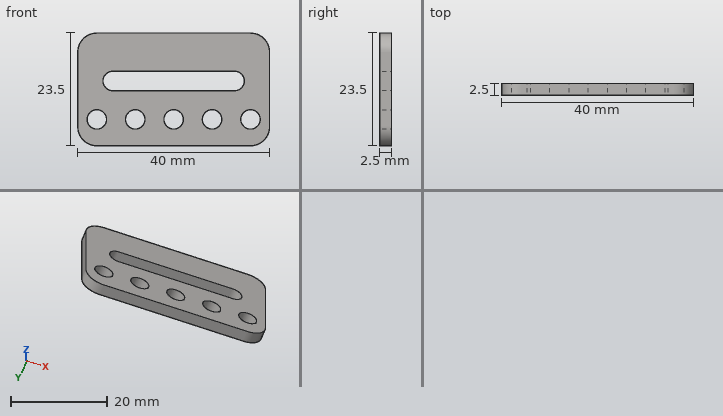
import cadquery as cq

length = 40.0
thickness = 2.5
height = 23.5
corner_radius = 4.0

hole_diameter = 4.0
hole_count = 5
hole_pitch = 8.0

slot_width = hole_diameter
slot_center_distance = 25.4
slot_length = slot_center_distance + slot_width
slot_below_top = 10.0
slot_z = height / 2 - slot_below_top
hole_row_z = slot_z - hole_pitch


def make_plate():
    plate = cq.Workplane("XY").box(length, thickness, height)
    return plate.edges("|Y").fillet(corner_radius)


def back_face_plane():
    return cq.Workplane("XZ", origin=(0, thickness / 2, 0))


def cut_slot(plate):
    profile = back_face_plane().center(0, slot_z).slot2D(slot_length, slot_width)
    return plate.cut(profile.extrude(thickness))


def cut_hole_row(plate):
    row = back_face_plane().center(0, hole_row_z).rarray(hole_pitch, 0.4, hole_count, 1)
    return plate.cut(row.circle(hole_diameter / 2).extrude(thickness))


result = cut_hole_row(cut_slot(make_plate()))